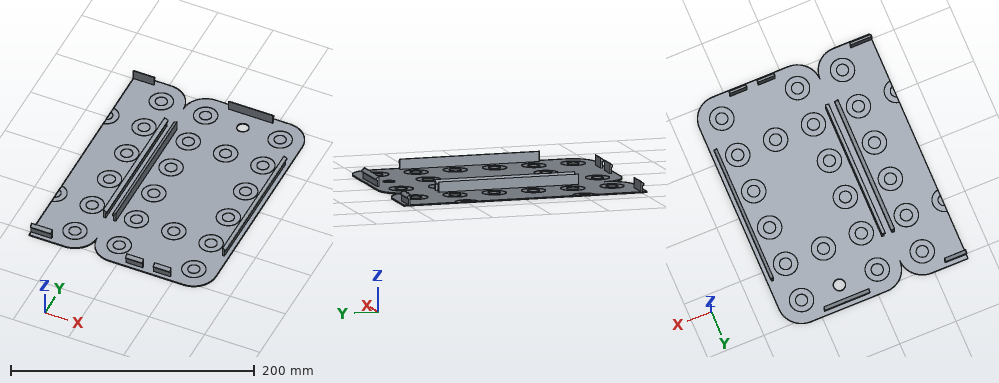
import cadquery as cq
import math

total_width = 160.0
panel_width = 107.5
panel_length = 208.8
plate_thickness = 1.0
corner_radius = 20.0
seam_x = total_width - panel_width
half_length = panel_length / 2
panel_centers = (seam_x - panel_width / 2, seam_x + panel_width / 2)

ring_outer_diameter = 20.0
ring_inner_diameter = 10.0
ring_depth = 0.25
ring_rows = 6
middle_column_rows = (1, 4)
column_pitch = panel_width / 2 - corner_radius
row_pitch = (panel_length - 2 * corner_radius) / (ring_rows - 1)
hole_diameter = 10.0

total_height = 9.5
bump_center_z = 7.0
bump_radius = 1.0
slope_end_angle = 60
edge_inset = 5.2
edge_stem = 1.5
seam_stem = 2.0
seam_wall_offset = 5.6
long_wall_length = 119.8
tab_length = 40.0
tab_gap = 10.0


def row_y(row):
    return (row - (ring_rows - 1) / 2) * row_pitch


def make_plate():
    """Two rounded panels joined along the seam, with everything left of x = 0 cut away."""
    left_panel, right_panel = (
        cq.Workplane("XY")
        .box(panel_width, panel_length, plate_thickness, centered=(True, True, False))
        .edges("|Z")
        .fillet(corner_radius)
        .translate((center_x, 0, 0))
        for center_x in panel_centers
    )
    kept_area = cq.Workplane("XY").box(
        total_width, panel_length, plate_thickness, centered=(False, True, False)
    )
    return left_panel.union(right_panel).intersect(kept_area).clean()


def ring_centers():
    """Full side columns and two rings in the middle column of each panel."""
    centers = []
    for center_x in panel_centers:
        for row in range(ring_rows):
            centers.append((center_x - column_pitch, row_y(row)))
            centers.append((center_x + column_pitch, row_y(row)))
        centers += [(center_x, row_y(row)) for row in middle_column_rows]
    return [center for center in centers if center[0] > -ring_outer_diameter / 2]


def make_rings():
    return (
        cq.Workplane("XY", origin=(0, 0, plate_thickness - ring_depth))
        .pushPoints(ring_centers())
        .circle(ring_outer_diameter / 2)
        .circle(ring_inner_diameter / 2)
        .extrude(ring_depth)
    )


def make_hole():
    return (
        cq.Workplane("XY")
        .center(panel_centers[1], row_y(ring_rows - 1))
        .circle(hole_diameter / 2)
        .extrude(plate_thickness)
    )


def snap_wall(stem, length):
    """Wall along Y centered on y = 0: flat back at x = 0, sloped top and round bump toward +X."""
    slope_end = (
        stem + bump_radius * math.cos(math.radians(slope_end_angle)),
        bump_center_z + bump_radius * math.sin(math.radians(slope_end_angle)),
    )
    return (
        cq.Workplane("XZ", origin=(0, length / 2, 0))
        .lineTo(stem, 0)
        .lineTo(stem, bump_center_z - bump_radius)
        .threePointArc((stem + bump_radius, bump_center_z), slope_end)
        .lineTo(0, total_height)
        .close()
        .extrude(length)
    )


def place(wall, angle, x, y):
    """Turn the bump of a wall to the given direction and move the wall to (x, y)."""
    return wall.rotate((0, 0, 0), (0, 0, 1), angle).translate((x, y, 0))


def make_walls():
    seam_wall = snap_wall(seam_stem, long_wall_length)
    walls = [
        place(seam_wall, 0, seam_x - seam_wall_offset, 0),
        place(seam_wall, 180, seam_x + seam_wall_offset, 0),
        place(snap_wall(edge_stem, long_wall_length), 0, total_width - edge_inset, 0),
    ]
    tab_y = half_length - edge_inset
    short_tab_length = (tab_length - tab_gap) / 2
    short_tab_offset = (tab_length - short_tab_length) / 2
    left_tab_length = panel_centers[0] + tab_length / 2
    for y, angle in ((tab_y, 90), (-tab_y, -90)):
        walls.append(place(snap_wall(edge_stem, left_tab_length), angle, left_tab_length / 2, y))
    walls.append(place(snap_wall(edge_stem, tab_length), 90, panel_centers[1], tab_y))
    for side in (-1, 1):
        tab_x = panel_centers[1] + side * short_tab_offset
        walls.append(place(snap_wall(edge_stem, short_tab_length), -90, tab_x, -tab_y))
    return walls


result = make_plate().cut(make_rings()).cut(make_hole())
for wall in make_walls():
    result = result.union(wall)